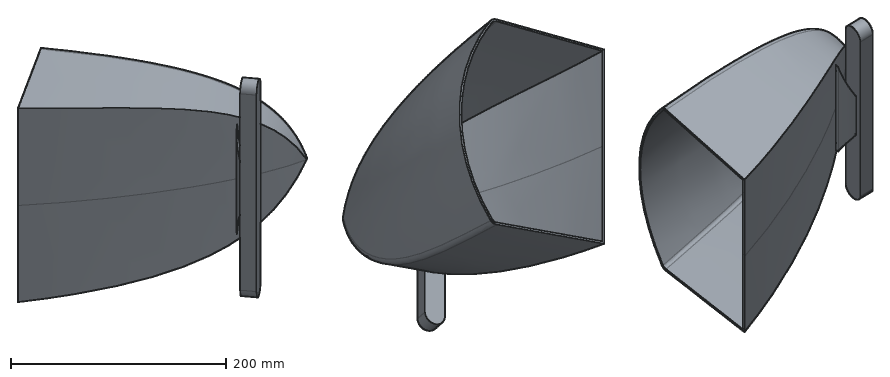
import cadquery as cq
import math

PART_TURN = 10.3

WALL = 2.2
PLAN_TOP = 14.5
PLAN_DEPTH = 182.8
MOUTH_OVERRUN = 24.4
PLAN_HALF_WIDTH = 109.7
PLAN_TIP = 247.3
PLAN_HANDLE_NEAR = (135.2, 97.5)
PLAN_HANDLE_FAR = (215.6, 82.8)
SIDE_DRAFT = 2.9
FLOOR_START = (0.0, -151.8)
FLOOR_HANDLES = [(97.5, -121.3), (202.7, -63.0)]
FLOOR_END = (246.0, -9.3)
FLOOR_CLEAR = 36.5
ROOF_CREST_X = 117.0
ROOF_CREST_Y = 3.7
ROOF_LENGTH_RADIUS = 1571.7
ROOF_CROSS_RADIUS = 182.8
ROOF_HALF_SPAN = 134.0
ROOF_SWING = 10.0
KNEE_RADIUS = 6.8
KNEE_LOWEST = -48.7

PLATE_LENGTH = 226.0
PLATE_WIDTH = 21.0
PLATE_THICKNESS = 15.5
PLATE_X = 197.5
PLATE_Y = -75.5

NECK_ROOT_HALF = 25.3
NECK_FLARE_X = 191.8
NECK_FLARE_HALF = 42.6
NECK_WIDE_HALF = 56.3
NECK_TOP_ROOT = (PLATE_X, -66.8)
NECK_TOP_MID = (194.5, -64.5)
NECK_TIP_TOP = (189.5, -55.0)
NECK_TIP_BOTTOM = (190.0, -63.4)
NECK_BOTTOM_MID = (192.3, -72.0)
NECK_BOTTOM_ROOT = (PLATE_X, -80.5)


def plan_outline(workplane, inset):
    """Pointed outline, each side a curve from the mouth to the tip, drawn in by an inset."""
    half = PLAN_HALF_WIDTH - inset
    near_x, near_z = PLAN_HANDLE_NEAR[0], PLAN_HANDLE_NEAR[1] - inset
    far_x, far_z = PLAN_HANDLE_FAR[0] - inset / 2, PLAN_HANDLE_FAR[1] - inset
    tip = PLAN_TIP - inset
    return (
        workplane.moveTo(-MOUTH_OVERRUN, -half)
        .lineTo(0, -half)
        .bezier([(0, -half), (near_x, -near_z), (far_x, -far_z), (tip, 0)])
        .bezier([(tip, 0), (far_x, far_z), (near_x, near_z), (0, half)])
        .lineTo(-MOUTH_OVERRUN, half)
        .close()
    )


def scoop_plan(wall):
    """Block with the pointed plan outline, narrowing towards the floor."""
    inset = PLAN_DEPTH * math.tan(math.radians(SIDE_DRAFT))
    top = plan_outline(cq.Workplane("XZ", origin=(0, PLAN_TOP, 0)), wall)
    return plan_outline(top.workplane(offset=PLAN_DEPTH), wall + inset).loft(ruled=True)


def floor_region(wall):
    """Everything above the curved floor and behind the mouth, moved in by the wall thickness."""
    slope = math.atan2(FLOOR_END[1] - FLOOR_START[1], FLOOR_END[0] - FLOOR_START[0])
    end_slope = math.atan2(FLOOR_END[1] - FLOOR_HANDLES[1][1], FLOOR_END[0] - FLOOR_HANDLES[1][0])
    beyond = (
        FLOOR_END[0] + FLOOR_CLEAR * math.cos(end_slope),
        FLOOR_END[1] + FLOOR_CLEAR * math.sin(end_slope),
    )
    return (
        cq.Workplane("XY")
        .moveTo(*FLOOR_START)
        .bezier([FLOOR_START, *FLOOR_HANDLES, FLOOR_END])
        .lineTo(*beyond)
        .lineTo(0, beyond[1])
        .close()
        .extrude(2 * PLAN_HALF_WIDTH, both=True)
        .translate((-wall * math.sin(slope), wall * math.cos(slope), 0))
    )


def roof_region(wall):
    """Everything below the roof, an arc swung about a far axis parallel to Z."""
    radius = ROOF_CROSS_RADIUS - wall
    crest = ROOF_CREST_Y - wall
    edge = crest - radius + math.sqrt(radius**2 - ROOF_HALF_SPAN**2)
    axis_y = ROOF_CREST_Y - ROOF_LENGTH_RADIUS
    roof = (
        cq.Workplane("YZ", origin=(ROOF_CREST_X, 0, 0))
        .moveTo(edge, -ROOF_HALF_SPAN)
        .threePointArc((crest, 0), (edge, ROOF_HALF_SPAN))
        .lineTo(-PLAN_DEPTH, ROOF_HALF_SPAN)
        .lineTo(-PLAN_DEPTH, -ROOF_HALF_SPAN)
        .close()
        .revolve(2 * ROOF_SWING, (axis_y, 0, 0), (axis_y, 1, 0))
    )
    return roof.rotate((ROOF_CREST_X, axis_y, 0), (ROOF_CREST_X, axis_y, 1), -ROOF_SWING)


def is_knee(edge):
    """True for the two long edges where the roof meets the sides."""
    box = edge.BoundingBox()
    return box.xlen > PLAN_TIP / 2 and box.ymin > KNEE_LOWEST and box.zlen > KNEE_RADIUS


def scoop_block(wall):
    """Solid scoop whose faces lie one wall thickness inside the outer skin."""
    block = scoop_plan(wall).intersect(floor_region(wall)).intersect(roof_region(wall))
    knees = [edge for edge in block.edges().vals() if is_knee(edge)]
    return block.newObject(knees).fillet(KNEE_RADIUS - wall)


def neck():
    """Curved strip from the floor to the plate, flaring in height towards the scoop."""
    strip = (
        cq.Workplane("XY")
        .moveTo(*NECK_TOP_ROOT)
        .threePointArc(NECK_TOP_MID, NECK_TIP_TOP)
        .lineTo(*NECK_TIP_BOTTOM)
        .threePointArc(NECK_BOTTOM_MID, NECK_BOTTOM_ROOT)
        .close()
        .extrude(NECK_WIDE_HALF, both=True)
    )
    flare = (
        cq.Workplane("XZ")
        .moveTo(PLATE_X, -NECK_ROOT_HALF)
        .lineTo(PLATE_X, NECK_ROOT_HALF)
        .threePointArc((NECK_FLARE_X, NECK_FLARE_HALF), (NECK_TIP_BOTTOM[0], NECK_WIDE_HALF))
        .lineTo(NECK_TIP_TOP[0], NECK_WIDE_HALF)
        .lineTo(NECK_TIP_TOP[0], -NECK_WIDE_HALF)
        .lineTo(NECK_TIP_BOTTOM[0], -NECK_WIDE_HALF)
        .threePointArc((NECK_FLARE_X, -NECK_FLARE_HALF), (PLATE_X, -NECK_ROOT_HALF))
        .close()
        .extrude(2 * PLAN_DEPTH, both=True)
    )
    return strip.intersect(flare)


def make_housing():
    """Hollow scoop, open at the mouth, with the neck standing on its floor."""
    cavity = scoop_block(WALL)
    return scoop_block(0).union(neck()).cut(cavity)


def make_plate():
    """Flat bar with fully rounded ends."""
    return (
        cq.Workplane("YZ", origin=(PLATE_X, PLATE_Y, 0))
        .slot2D(PLATE_LENGTH, PLATE_WIDTH, 90)
        .extrude(PLATE_THICKNESS)
    )


def turned(body):
    """Body turned about Z into its final place."""
    return body.rotate((0, 0, 0), (0, 0, 1), PART_TURN)


housing = turned(make_housing())
plate = turned(make_plate())
result = cq.Compound.makeCompound([housing.solids().val(), plate.val()])